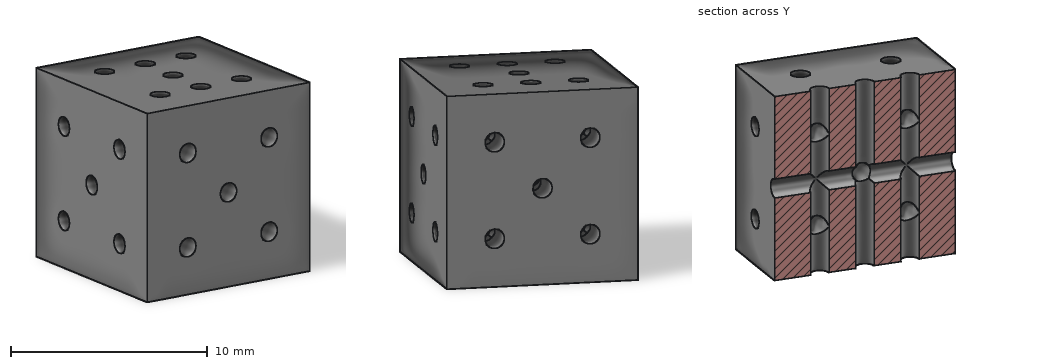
import cadquery as cq

side = 10
hole_diameter = 1
hole_offset = side / 4

corner_holes = [(u * hole_offset, v * hole_offset) for u in (-1, 1) for v in (-1, 1)]
five_holes = corner_holes + [(0, 0)]
seven_holes = five_holes + [(-hole_offset, 0), (hole_offset, 0)]


def drill_through(body, face, centres):
    """Drill holes through the whole body, starting from the selected face."""
    return (
        body.faces(face)
        .workplane(origin=(0, 0, 0))
        .pushPoints(centres)
        .hole(hole_diameter)
    )


result = cq.Workplane("XY").box(side, side, side)

result = drill_through(result, "<X", five_holes)
result = drill_through(result, "<Y", five_holes)
result = drill_through(result, ">Z", seven_holes)